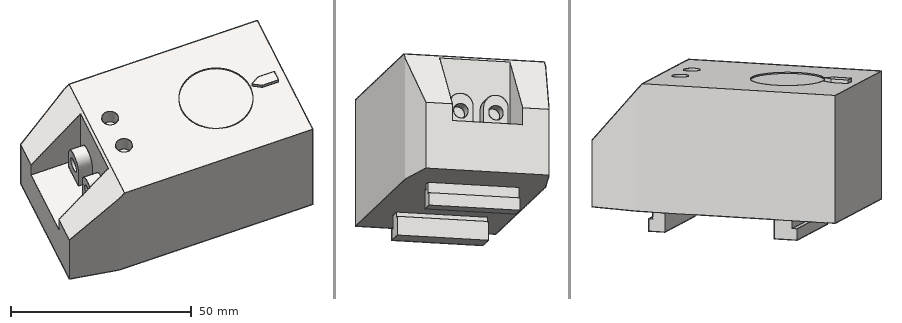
import cadquery as cq

width = 40.0
length = 72.0
height = 36.0
slope_length = 15.55
nose_height = 18.7
taper_length = 14.0
taper_inset = 2.45

pocket_width = 20.0
pocket_depth = 14.8
pocket_floor = 14.0

pair_spacing = 10.0
terminal_width = 7.0
terminal_length = 4.2
terminal_height = 10.5
terminal_hole_diameter = 4.1
terminal_hole_z = 19.5
indicator_diameter = 4.6
indicator_y = 21.6
indicator_depth = 5.05

dial_diameter = 20.5
dial_y = 51.3
dial_depth = 0.35
pointer_width = 3.1
pointer_back = 69.4
pointer_shoulder = 64.5
pointer_tip = 62.0
pointer_height = 1.0

foot_width = 26.0
foot_height = 6.8
inner_step = 1.45

pair_positions = (-pair_spacing / 2, pair_spacing / 2)


def extrude_along_x(points, size_x):
    """Extrude a (Y, Z) outline symmetrically about X = 0."""
    return cq.Workplane("YZ").polyline(points).close().extrude(size_x / 2, both=True)


def make_housing():
    """Block with a sloped nose whose sides taper inwards."""
    side_profile = extrude_along_x(
        [(0, 0), (length, 0), (length, height), (slope_length, height), (0, nose_height)],
        width,
    )
    half_width = width / 2
    nose_half_width = half_width - taper_inset
    plan = [
        (-nose_half_width, 0),
        (nose_half_width, 0),
        (half_width, taper_length),
        (half_width, length),
        (-half_width, length),
        (-half_width, taper_length),
    ]
    return side_profile.intersect(cq.Workplane("XY").polyline(plan).close().extrude(height))


def make_pocket():
    """Volume removed from the nose, open to the front and upwards."""
    return cq.Workplane("XY", origin=(0, 0, pocket_floor)).box(
        pocket_width, pocket_depth, height - pocket_floor, centered=(True, False, False)
    )


def make_terminal(x):
    """Round-topped terminal on the pocket's back wall, bored along Y."""
    radius = terminal_width / 2
    top = pocket_floor + terminal_height
    terminal = (
        cq.Workplane("XZ", origin=(x, pocket_depth, 0))
        .moveTo(-radius, pocket_floor)
        .lineTo(radius, pocket_floor)
        .lineTo(radius, top - radius)
        .threePointArc((0, top), (-radius, top - radius))
        .close()
        .extrude(terminal_length)
    )
    bore = (
        cq.Workplane("XZ", origin=(x, pocket_depth, terminal_hole_z))
        .circle(terminal_hole_diameter / 2)
        .extrude(terminal_length)
    )
    return terminal.cut(bore)


def make_top_recess(x, y, diameter, depth):
    """Round volume sunk into the top face."""
    return cq.Workplane("XY", origin=(x, y, height)).circle(diameter / 2).extrude(-depth)


def make_pointer():
    """Raised mark on the top face, pointing at the dial."""
    half = pointer_width / 2
    outline = [
        (-half, pointer_back),
        (half, pointer_back),
        (half, pointer_shoulder),
        (0, pointer_tip),
        (-half, pointer_shoulder),
    ]
    return cq.Workplane("XY", origin=(0, 0, height)).polyline(outline).close().extrude(pointer_height)


def make_foot(stem_inner, stem_outer, base_inner, base_outer, outer_step):
    """Rail foot given by the Y of its faces; inner faces look towards the other foot."""
    outline = [
        (stem_inner, 0),
        (stem_inner, -inner_step),
        (base_inner, -inner_step),
        (base_inner, -foot_height),
        (base_outer, -foot_height),
        (base_outer, -outer_step),
        (stem_outer, -outer_step),
        (stem_outer, 0),
    ]
    return extrude_along_x(outline, foot_width)


result = make_housing().cut(make_pocket())
result = result.cut(make_top_recess(0, dial_y, dial_diameter, dial_depth))
for pair_x in pair_positions:
    result = result.union(make_terminal(pair_x))
    result = result.cut(make_top_recess(pair_x, indicator_y, indicator_diameter, indicator_depth))
result = result.union(make_pointer())

front_foot = make_foot(
    stem_inner=18.8, stem_outer=16.3, base_inner=19.8, base_outer=15.05, outer_step=3.25
)
rear_foot = make_foot(
    stem_inner=52.8, stem_outer=57.0, base_inner=51.8, base_outer=58.5, outer_step=3.5
)
result = result.union(front_foot).union(rear_foot)